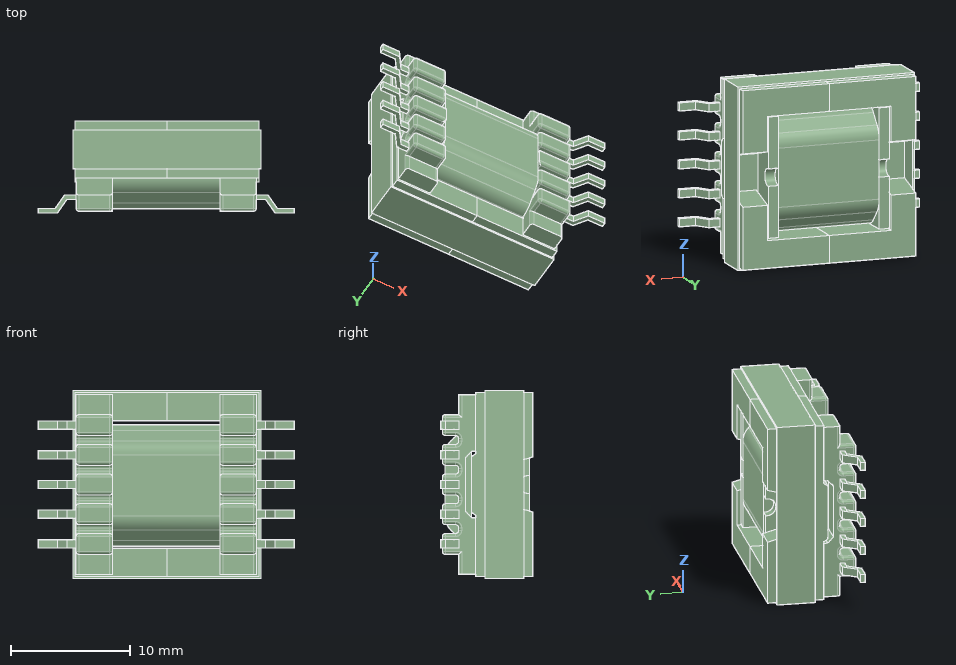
import cadquery as cq
import math


OVERALL_LENGTH = 21.35
OVERALL_HEIGHT = 7.7

CORE_SIDE = 15.37
CORE_SHIFT_X = 0.06
CORE_FRONT_Y = 2.92
CORE_BACK_Y = OVERALL_HEIGHT
WINDOW_LENGTH = 10.97
WINDOW_HEIGHT = 10.61
LEG_FRONT_Y = 2.58
LEG_BACK_Y = 5.0
LEG_WIDTH = 5.3
LEG_FRONT_WIDTH = 4.65
LEG_BEVEL_DEPTH = 0.45
RECESS_MOUTH_WIDTH = 4.57
RECESS_WALL_ANGLE = 15.0

TAPE_SIDE = 15.7
TAPE_FRONT_Y = 3.7
TAPE_BACK_Y = 6.94

RAIL_OUTER_X = 7.52
RAIL_INNER_X = 4.46
RAIL_LENGTH = 14.99
SHOULDER_Y = 1.52
TOOTH_FRONT_Y = 0.15
TOOTH_COUNT = 5
PITCH = 2.48
TOOTH_WIDTH = 1.75
SLOT_CORNER_RADIUS = 0.25
EDGE_RADIUS = 0.25
CHANNEL_FLOOR_Y = 2.1
CHANNEL_FLOOR_WIDTH = 4.48

FLANGE_THICKNESS = 0.92
FLANGE_WIDTH = 10.38
SPOOL_BACK_Y = 7.43
NOTCH_RADIUS = 0.75
NOTCH_CENTRE_Y = 7.32
TUBE_BORE_WIDTH = 5.5
TUBE_WALL = 0.32

LEAD_THICKNESS = 0.4
LEAD_WIDTH = 0.7
LEAD_TOP_Y = 1.54
LEAD_FOOT_LENGTH = 1.4
LEAD_KNEE_X = 8.48
LEAD_BEND_SHIFT = 0.2

WINDING_FRONT_Y = 0.36
WINDING_WIDTH = 10.16
WINDING_SHIFT_Z = -0.09
WINDING_BEVEL = 1.85
WINDING_ROUND = 1.67

TOLERANCE = 0.002


def box(x_range, y_range, z_range):
    """Axis-aligned block given as (low, high) pairs."""
    lows, highs = zip(x_range, y_range, z_range)
    size = [high - low for low, high in zip(lows, highs)]
    return cq.Workplane("XY").box(*size, centered=False).translate(lows)


def slab(x_range, outline):
    """Extrude an outline of (y, z) points along X."""
    start, end = x_range
    return cq.Workplane("YZ", origin=(start, 0, 0)).polyline(outline).close().extrude(end - start)


def centred(width):
    return (-width / 2, width / 2)


def mirrored_in_z(half_outline):
    """Complete an outline that is symmetric about Z = 0 from its +Z half."""
    return half_outline + [(y, -z) for y, z in reversed(half_outline)]


def mirrored_in_x(body):
    return body.mirror("YZ")


tooth_centres = [(i - (TOOTH_COUNT - 1) / 2) * PITCH for i in range(TOOTH_COUNT)]
flange_outer_x = RAIL_INNER_X + FLANGE_THICKNESS


def make_core_half():
    """+X half: two outer legs, an end wall and a bevelled centre leg."""
    half_length = CORE_SIDE / 2
    window_end = WINDOW_LENGTH / 2
    body_y = (CORE_FRONT_Y, CORE_BACK_Y)
    half = box((0, half_length), body_y, centred(CORE_SIDE))
    half = half.cut(box((0, window_end), body_y, centred(WINDOW_HEIGHT)))

    recess_depth = CORE_BACK_Y - LEG_BACK_Y
    mouth = RECESS_MOUTH_WIDTH / 2
    floor = mouth - recess_depth * math.tan(math.radians(RECESS_WALL_ANGLE))
    recess = mirrored_in_z([(CORE_BACK_Y, mouth), (LEG_BACK_Y, floor)])
    half = half.cut(slab((window_end, half_length), recess))

    leg = mirrored_in_z([
        (LEG_FRONT_Y, LEG_FRONT_WIDTH / 2),
        (LEG_FRONT_Y + LEG_BEVEL_DEPTH, LEG_WIDTH / 2),
        (LEG_BACK_Y, LEG_WIDTH / 2),
    ])
    return half.union(slab((0, half_length), leg))


def make_tape():
    """Closed square band around the outside of both core halves."""
    tape_y = (TAPE_FRONT_Y, TAPE_BACK_Y)
    band = box(centred(TAPE_SIDE), tape_y, centred(TAPE_SIDE))
    return band.cut(box(centred(CORE_SIDE), tape_y, centred(CORE_SIDE)))


def make_winding():
    """Rounded, bevelled coil that fills the bobbin from tube to outer surface."""
    coil = box(centred(2 * RAIL_INNER_X), (WINDING_FRONT_Y, SPOOL_BACK_Y), centred(WINDING_WIDTH))
    coil = coil.edges("|X").chamfer(WINDING_BEVEL)
    coil = coil.edges("|X").fillet(WINDING_ROUND)
    coil = coil.translate((0, 0, WINDING_SHIFT_Z))
    return coil.cut(tube_block(TUBE_WALL))


def tube_block(wall):
    """Block the size of the tube bore, grown by a wall thickness, between the flanges."""
    y_range = (LEG_FRONT_Y - wall, LEG_BACK_Y + wall)
    return box(centred(2 * RAIL_INNER_X), y_range, centred(TUBE_BORE_WIDTH + 2 * wall))


def needs_rounding(edge):
    """True for the outline edges of the toothed front and for the tooth corners."""
    centre = edge.Center()
    if centre.y > SHOULDER_Y + TOLERANCE:
        return False
    at_ends = abs(abs(centre.z) - RAIL_LENGTH / 2) < TOLERANCE
    if at_ends:
        return False
    on_side = min(abs(centre.x - RAIL_OUTER_X), abs(centre.x - RAIL_INNER_X)) < TOLERANCE
    on_tooth_front = abs(centre.y - TOOTH_FRONT_Y) < TOLERANCE
    sharp = on_tooth_front and abs(centre.z) < TOLERANCE and abs(centre.x - RAIL_INNER_X) < TOLERANCE
    return (on_side or on_tooth_front) and not sharp


def make_rail():
    """+X rail: shoulder bar with a row of rounded teeth pointing to the mounting plane."""
    rail_x = (RAIL_INNER_X, RAIL_OUTER_X)
    row_width = (TOOTH_COUNT - 1) * PITCH + TOOTH_WIDTH
    rail = box(rail_x, (SHOULDER_Y, CORE_FRONT_Y), centred(RAIL_LENGTH))
    rail = rail.union(box(rail_x, (TOOTH_FRONT_Y, SHOULDER_Y), centred(row_width)))

    slot_width = PITCH - TOOTH_WIDTH
    slot = box(rail_x, (TOOTH_FRONT_Y, SHOULDER_Y), centred(slot_width))
    slot = slot.edges("|X and >Y").fillet(SLOT_CORNER_RADIUS)
    for left, right in zip(tooth_centres, tooth_centres[1:]):
        rail = rail.cut(slot.translate((0, 0, (left + right) / 2)))

    edges = [edge for edge in rail.edges().vals() if needs_rounding(edge)]
    return rail.newObject(edges).fillet(EDGE_RADIUS)


def make_flange():
    """+X flange inside the core window, with a round notch in its back edge."""
    flange_x = (RAIL_INNER_X, flange_outer_x)
    flange = box(flange_x, (CHANNEL_FLOOR_Y, SPOOL_BACK_Y), centred(FLANGE_WIDTH))
    notch = (
        cq.Workplane("YZ", origin=(RAIL_INNER_X, 0, 0))
        .center(NOTCH_CENTRE_Y, 0)
        .circle(NOTCH_RADIUS)
        .extrude(FLANGE_THICKNESS)
    )
    return flange.cut(notch)


def make_lead():
    """+X gull-wing lead, from the rail face down to its foot."""
    end = OVERALL_LENGTH / 2
    heel = end - LEAD_FOOT_LENGTH
    outline = [
        (RAIL_OUTER_X, LEAD_TOP_Y),
        (LEAD_KNEE_X, LEAD_TOP_Y),
        (heel, LEAD_THICKNESS),
        (end, LEAD_THICKNESS),
        (end, 0),
        (heel - LEAD_BEND_SHIFT, 0),
        (LEAD_KNEE_X - LEAD_BEND_SHIFT, LEAD_TOP_Y - LEAD_THICKNESS),
        (RAIL_OUTER_X, LEAD_TOP_Y - LEAD_THICKNESS),
    ]
    return cq.Workplane("XY").polyline(outline).close().extrude(LEAD_WIDTH / 2, both=True)


def make_bobbin_end():
    """+X end of the bobbin: rail, flange and leads, with a channel for the core."""
    channel = mirrored_in_z([
        (CHANNEL_FLOOR_Y, CHANNEL_FLOOR_WIDTH / 2),
        (LEG_FRONT_Y, TUBE_BORE_WIDTH / 2),
        (CORE_FRONT_Y, TUBE_BORE_WIDTH / 2),
    ])
    end = make_rail().cut(slab((flange_outer_x, RAIL_OUTER_X), channel))
    end = end.union(make_flange())
    end = end.cut(box((RAIL_INNER_X, flange_outer_x), (LEG_FRONT_Y, LEG_BACK_Y), centred(TUBE_BORE_WIDTH)))
    lead = make_lead()
    for z in tooth_centres:
        end = end.union(lead.translate((0, 0, z)))
    return end


def make_bobbin():
    """Both ends joined by the tube that carries the winding."""
    end = make_bobbin_end()
    tube = tube_block(TUBE_WALL).cut(tube_block(0))
    return end.union(tube).union(mirrored_in_x(end))


core_half = make_core_half()
core_halves = [half.translate((CORE_SHIFT_X, 0, 0)) for half in (core_half, mirrored_in_x(core_half))]
tape = make_tape().translate((CORE_SHIFT_X, 0, 0))
winding = make_winding()
bobbin = make_bobbin()

result = cq.Compound.makeCompound([
    *[half.val() for half in core_halves],
    tape.val(),
    winding.val(),
    bobbin.val(),
])